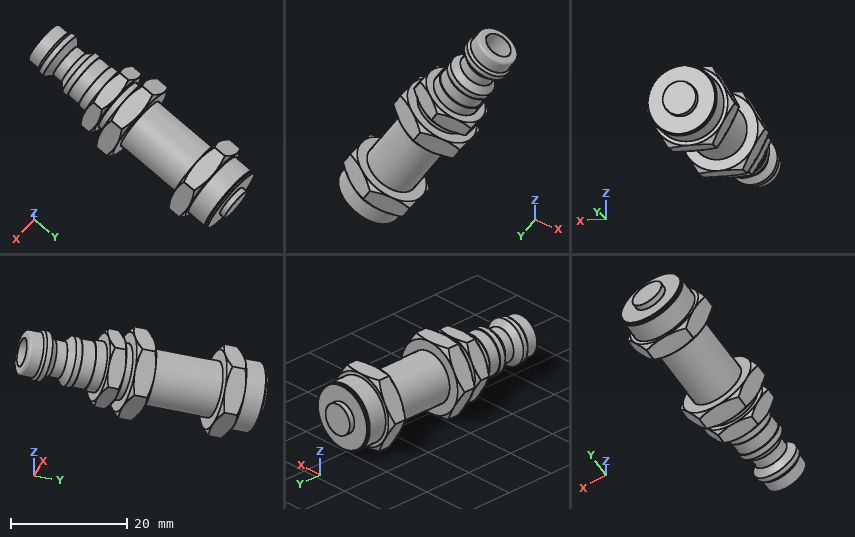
import cadquery as cq
import math

overall_length = 44.0

plug_radius = 4.5
tip_radius = 4.05
tip_fillet = 0.5
tip_length = 2.55
tip_shoulder = 3.0
neck_radius = 3.3
lock_ring_end = 4.0
neck_start = lock_ring_end + plug_radius - neck_radius
neck_end = 7.15
seal_ring_start = neck_end + plug_radius - neck_radius
seal_ring_end = 9.5
shank_radius = 4.3
shank_end = 12.0
bore_radius = 2.5
bore_depth = 12.0

plug_hex_flats = 12.0
plug_hex_start = 14.0
plug_hex_thickness = 3.0
large_hex_flats = 14.0
large_hex_thickness = 3.6
hex_bevel_angle = 30.0
hex_half_angle = 180.0 / 6

barrel_radius = 5.0
nut_start = 18.5
head_hex_start = 35.0
collar_radius = 6.3
collar_rim_radius = 6.1
collar_bevel_start = 42.35
collar_rim_start = collar_bevel_start + collar_radius - collar_rim_radius
collar_end = 42.9
stub_radius = 3.0


def cylinder_along_y(radius, start, length):
    """Solid cylinder on the Y axis, from start towards +Y."""
    return cq.Workplane("XZ", origin=(0, start, 0)).circle(radius).extrude(-length)


def bevelled_hexagon(flats, thickness, start):
    """Hexagon with corners on the X axis, its corners turned off at both faces."""
    corner_radius = flats / 2 / math.cos(math.radians(hex_half_angle))
    bevel_rise = (corner_radius - flats / 2) * math.tan(math.radians(hex_bevel_angle))
    end = start + thickness
    hexagon = (
        cq.Workplane("XZ", origin=(0, start, 0))
        .polygon(6, 2 * corner_radius)
        .extrude(-thickness)
    )
    turned_blank = (
        cq.Workplane("XY")
        .moveTo(0, start)
        .lineTo(flats / 2, start)
        .lineTo(corner_radius, start + bevel_rise)
        .lineTo(corner_radius, end - bevel_rise)
        .lineTo(flats / 2, end)
        .lineTo(0, end)
        .close()
        .revolve(360, (0, 0, 0), (0, 1, 0))
    )
    return hexagon.intersect(turned_blank)


def turned_body():
    """Revolved profile of the plug, barrel, head collar and end stub."""
    corner_offset = tip_fillet * (1 - math.sqrt(0.5))
    profile = (
        cq.Workplane("XY")
        .moveTo(0, 0)
        .lineTo(tip_radius - tip_fillet, 0)
        .threePointArc((tip_radius - corner_offset, corner_offset), (tip_radius, tip_fillet))
        .lineTo(tip_radius, tip_length)
        .lineTo(plug_radius, tip_shoulder)
        .lineTo(plug_radius, lock_ring_end)
        .lineTo(neck_radius, neck_start)
        .lineTo(neck_radius, neck_end)
        .lineTo(plug_radius, seal_ring_start)
        .lineTo(plug_radius, seal_ring_end)
        .lineTo(shank_radius, seal_ring_end)
        .lineTo(shank_radius, shank_end)
        .lineTo(plug_radius, shank_end)
        .lineTo(plug_radius, plug_hex_start)
        .lineTo(barrel_radius, plug_hex_start)
        .lineTo(barrel_radius, head_hex_start)
        .lineTo(collar_radius, head_hex_start)
        .lineTo(collar_radius, collar_bevel_start)
        .lineTo(collar_rim_radius, collar_rim_start)
        .lineTo(collar_rim_radius, collar_end)
        .lineTo(stub_radius, collar_end)
        .lineTo(stub_radius, overall_length)
        .lineTo(0, overall_length)
        .close()
    )
    return profile.revolve(360, (0, 0, 0), (0, 1, 0))


def make_connector():
    """Bulkhead plug connector with both of its fixed hexagons and the tip bore."""
    plug_hex = bevelled_hexagon(plug_hex_flats, plug_hex_thickness, plug_hex_start)
    head_hex = bevelled_hexagon(large_hex_flats, large_hex_thickness, head_hex_start)
    tip_bore = cylinder_along_y(bore_radius, 0, bore_depth)
    return turned_body().union(plug_hex).union(head_hex).cut(tip_bore)


def make_lock_nut():
    """Loose nut on the barrel, bored to the barrel diameter."""
    nut = bevelled_hexagon(large_hex_flats, large_hex_thickness, nut_start)
    return nut.cut(cylinder_along_y(barrel_radius, nut_start, large_hex_thickness))


connector = make_connector()
lock_nut = make_lock_nut()

result = cq.Compound.makeCompound([connector.val(), lock_nut.val()])